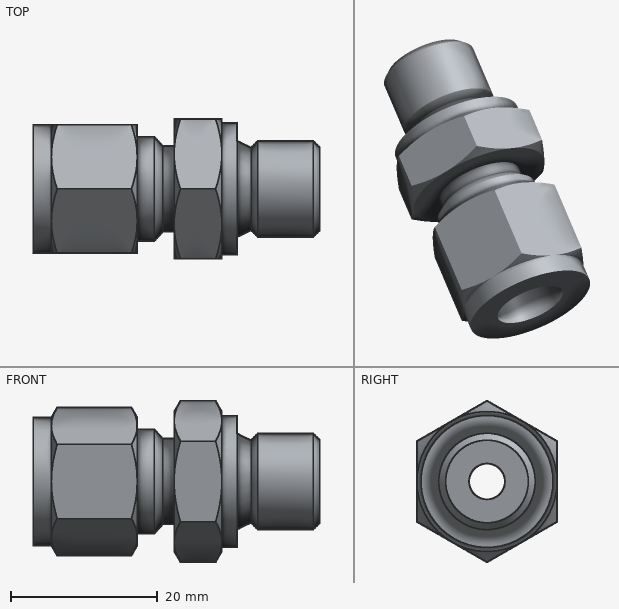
import cadquery as cq
import math

collar_end = 2.5
nut_end = 14.2
ring_end = 16.5
neck_start = 17.67
hex_start = 19.25
hex_end = 25.73
washer_end = 27.8
groove_bottom = 29.7
thread_start = 30.65
total_length = 39.1

ring_diameter = 14.27
neck_diameter = 11.73
washer_diameter = 18.0
thread_diameter = 13.15
groove_diameter = 11.25
thread_chamfer = thread_start - groove_bottom

nut_flats = 17.5
hex_flats = 19.1
collar_diameter = nut_flats
hex_sides = 6
corner_chamfer_angle = 30.0

bore_diameter = 4.85
socket_diameter = 9.55
socket_depth = neck_start


def cylinder(start, end, diameter):
    """Cylinder along X between two stations."""
    return cq.Workplane("YZ", origin=(start, 0, 0)).circle(diameter / 2).extrude(end - start)


def hexagon(start, end, flats):
    """Hexagonal prism along X, its corners bevelled by a cone at both ends."""
    flat_radius = flats / 2
    corner_radius = flat_radius / math.cos(math.pi / hex_sides)
    bevel_length = (corner_radius - flat_radius) * math.tan(math.radians(corner_chamfer_angle))
    prism = (
        cq.Workplane("YZ", origin=(start, 0, 0))
        .polygon(hex_sides, 2 * corner_radius)
        .extrude(end - start)
        .rotate((0, 0, 0), (1, 0, 0), 90)
    )
    envelope = (
        cq.Workplane("XY")
        .moveTo(start, 0)
        .lineTo(start, flat_radius)
        .lineTo(start + bevel_length, corner_radius)
        .lineTo(end - bevel_length, corner_radius)
        .lineTo(end, flat_radius)
        .lineTo(end, 0)
        .close()
        .revolve(360, (0, 0, 0), (1, 0, 0))
    )
    return prism.intersect(envelope)


def turned_body():
    """Round core: collar, ring, neck, washer face, undercut and thread."""
    profile = [
        (0, 0),
        (0, collar_diameter / 2),
        (collar_end, collar_diameter / 2),
        (collar_end, ring_diameter / 2),
        (ring_end, ring_diameter / 2),
        (neck_start, neck_diameter / 2),
        (hex_end, neck_diameter / 2),
        (hex_end, washer_diameter / 2),
        (washer_end, washer_diameter / 2),
        (washer_end, thread_diameter / 2),
        (groove_bottom, groove_diameter / 2),
        (thread_start, thread_diameter / 2),
        (total_length - thread_chamfer, thread_diameter / 2),
        (total_length, thread_diameter / 2 - thread_chamfer),
        (total_length, 0),
    ]
    return cq.Workplane("XY").polyline(profile).close().revolve(360, (0, 0, 0), (1, 0, 0))


body = turned_body()
body = body.union(hexagon(collar_end, nut_end, nut_flats))
body = body.union(hexagon(hex_start, hex_end, hex_flats))

result = body.cut(cylinder(0, socket_depth, socket_diameter))
result = result.cut(cylinder(0, total_length, bore_diameter))